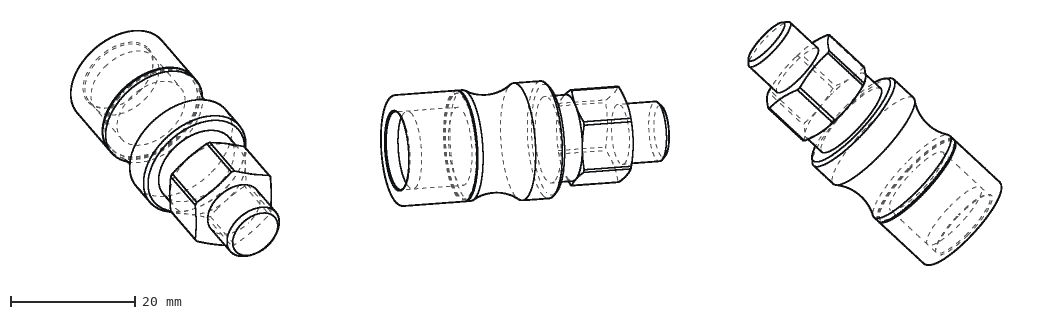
import cadquery as cq
import math

sleeve_end = 10.7
sleeve_gap = 0.2
land_start = sleeve_end + sleeve_gap
waist_start = 11.75
collar_start = 20.5
collar_end = 25.55
hex_start = 29.18
hex_end = 37.75
total_length = 44.75

sleeve_diameter = 18.0
gap_floor_diameter = 17.2
collar_diameter = 19.0
neck_diameter = 14.0
stem_diameter = 9.7
bore_diameter = 12.6
waist_radius = 7.95
sleeve_fillet = 0.5
collar_chamfer = 0.55
stem_chamfer = 0.65

recess_depth = 2.2
mouth_chamfer = 0.2

hex_sides = 6
hex_across_flats = 13.95
hex_corner_diameter = 15.8
hex_bevel_angle = 18.0


def disc(start, end, diameter):
    """Round bar along X between two stations."""
    return cq.Workplane("YZ", origin=(start, 0, 0)).circle(diameter / 2).extrude(end - start)


def make_sleeve():
    """Front locking sleeve: a ring with a rounded rim and a chamfered mouth."""
    ring = disc(0, sleeve_end, sleeve_diameter).faces("<X").edges().fillet(sleeve_fillet)
    ring = ring.cut(disc(0, sleeve_end, bore_diameter))
    mouth_edge = ring.faces("<X").edges(cq.selectors.RadiusNthSelector(0))
    return mouth_edge.chamfer(mouth_chamfer)


def make_grip():
    """Rear grip: step that floors the gap, short land, concave waist and collar, revolved about X."""
    return (
        cq.Workplane("XY")
        .moveTo(sleeve_end, 0)
        .lineTo(sleeve_end, gap_floor_diameter / 2)
        .lineTo(land_start, gap_floor_diameter / 2)
        .lineTo(land_start, sleeve_diameter / 2)
        .lineTo(waist_start, sleeve_diameter / 2)
        .radiusArc((collar_start, collar_diameter / 2), -waist_radius)
        .lineTo(collar_end, collar_diameter / 2)
        .lineTo(collar_end, 0)
        .close()
        .revolve(360, (0, 0, 0), (1, 0, 0))
        .faces(">X")
        .edges()
        .chamfer(collar_chamfer)
    )


def make_hexagon():
    """Hexagon with flats facing +Y and -Y, rounded corners and bevelled ends."""
    half_side_angle = math.pi / hex_sides
    point_diameter = hex_across_flats / math.cos(half_side_angle)
    prism = (
        cq.Workplane("YZ", origin=(hex_start, 0, 0))
        .transformed(rotate=(0, 0, math.degrees(half_side_angle)))
        .polygon(hex_sides, point_diameter)
        .extrude(hex_end - hex_start)
    )
    bevel_height = (hex_corner_diameter - hex_across_flats) / 2
    bevel_length = bevel_height * math.tan(math.radians(hex_bevel_angle))
    envelope = disc(hex_start, hex_end, hex_corner_diameter)
    envelope = envelope.faces("<X or >X").edges().chamfer(bevel_length, bevel_height)
    return prism.intersect(envelope)


def make_body():
    """Rear body: spigot that fills the sleeve, grip, neck, hexagon and stem."""
    spigot = disc(recess_depth, sleeve_end, bore_diameter)
    neck = disc(collar_end, hex_start, neck_diameter)
    stem = disc(hex_end, total_length, stem_diameter).faces(">X").edges().chamfer(stem_chamfer)
    return make_grip().union(spigot).union(neck).union(make_hexagon()).union(stem)


sleeve = make_sleeve()
body = make_body()

result = cq.Compound.makeCompound([sleeve.val(), body.val()])